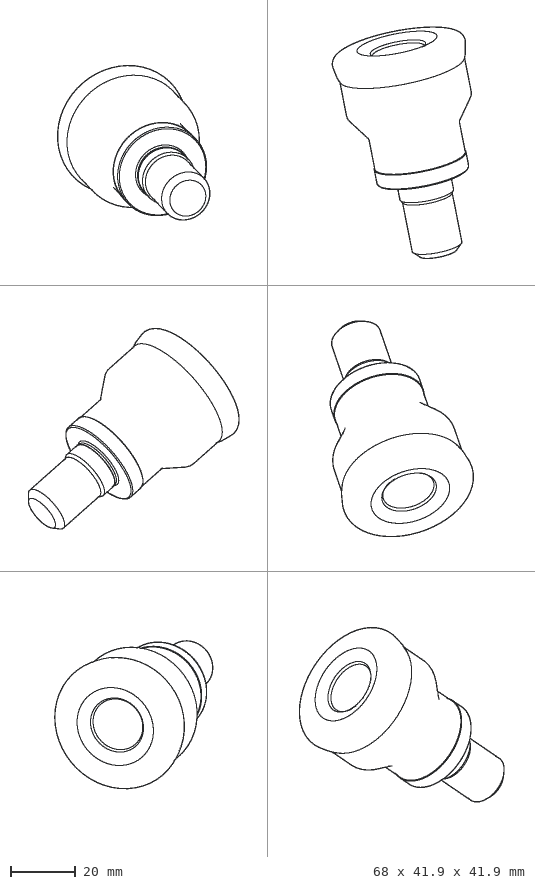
import cadquery as cq
import math


spigot_radius = 17.5
head_radius = 39.4 / 2
neck_radius = 28.6 / 2
collar_radius = 29.0 / 2
shank_radius = 17.0 / 2
shank_relief_depth = 0.2
stud_radius = 15.75 / 2

spigot_front_x = 2.4
ring_end_x = 8.3
taper_start_x = 20.15
collar_start_x = 37.9
shoulder_x = 43.0
relief_end_x = 44.3
shank_end_x = 49.0
stud_start_x = 50.0
total_length = 68.0

taper_angle = math.radians(35)
taper_blend_radius = 2.0
collar_front_chamfer = collar_radius - neck_radius
collar_back_chamfer = 0.4
shank_root_flare = 0.5
stud_end_chamfer = 2.0

ring_radius = 41.93 / 2
face_flat_radius = 15.05
face_cone_end = (0.5, 18.25)
crown_x = 3.1
crown_radius = 2.4
crown_sweep = math.radians(62)
rear_cone_start = (3.7, 20.9)
rear_cone_end = (6.7, 20.35)
rear_round_start = (7.4, 20.1)

dish_rim_radius = 12.6
dish_start = (0.25, 11.95)
dish_end = (1.4, 9.15)
lip_end = (1.6, 8.75)
opening_radius = 8.2


def revolve_about_x(profile):
    return profile.close().revolve(360, (0, 0, 0), (1, 0, 0))


def make_turned_body():
    taper_end_x = taper_start_x + (head_radius - neck_radius) / math.tan(taper_angle)
    blend_setback = taper_blend_radius * math.tan(taper_angle / 2)
    along_x = blend_setback * math.cos(taper_angle)
    along_radius = blend_setback * math.sin(taper_angle)

    relief_radius = shank_radius - shank_relief_depth
    profile = (
        cq.Workplane("XY")
        .moveTo(spigot_front_x, 0)
        .lineTo(spigot_front_x, spigot_radius)
        .lineTo(ring_end_x, spigot_radius)
        .lineTo(ring_end_x, head_radius)
        .lineTo(taper_start_x - blend_setback, head_radius)
        .tangentArcPoint((taper_start_x + along_x, head_radius - along_radius), relative=False)
        .lineTo(taper_end_x - along_x, neck_radius + along_radius)
        .tangentArcPoint((taper_end_x + blend_setback, neck_radius), relative=False)
        .lineTo(collar_start_x, neck_radius)
        .lineTo(collar_start_x + collar_front_chamfer, collar_radius)
        .lineTo(shoulder_x - collar_back_chamfer, collar_radius)
        .lineTo(shoulder_x, collar_radius - collar_back_chamfer)
        .lineTo(shoulder_x, relief_radius + shank_root_flare)
        .lineTo(shoulder_x + shank_root_flare, relief_radius)
        .lineTo(relief_end_x, relief_radius)
        .lineTo(relief_end_x, shank_radius)
        .lineTo(shank_end_x, shank_radius)
        .lineTo(stud_start_x, stud_radius)
        .lineTo(total_length - stud_end_chamfer, stud_radius)
        .lineTo(total_length, stud_radius - stud_end_chamfer)
        .lineTo(total_length, 0)
    )
    return revolve_about_x(profile)


def make_ring():
    crown_start = (
        crown_x - crown_radius * math.sin(crown_sweep),
        ring_radius - crown_radius * (1 - math.cos(crown_sweep)),
    )
    crown_middle = (
        crown_x - crown_radius * math.sin(crown_sweep / 2),
        ring_radius - crown_radius * (1 - math.cos(crown_sweep / 2)),
    )
    profile = (
        cq.Workplane("XY")
        .moveTo(spigot_front_x, opening_radius)
        .lineTo(*lip_end)
        .lineTo(*dish_end)
        .lineTo(*dish_start)
        .lineTo(0, dish_rim_radius)
        .lineTo(0, face_flat_radius)
        .lineTo(*face_cone_end)
        .tangentArcPoint(crown_start, relative=False)
        .threePointArc(crown_middle, (crown_x, ring_radius))
        .tangentArcPoint(rear_cone_start, relative=False)
        .lineTo(*rear_cone_end)
        .lineTo(*rear_round_start)
        .tangentArcPoint((ring_end_x, head_radius), relative=False)
        .lineTo(ring_end_x, spigot_radius)
        .lineTo(spigot_front_x, spigot_radius)
    )
    return revolve_about_x(profile)


turned_body = make_turned_body()
ring = make_ring()

result = cq.Compound.makeCompound([turned_body.val(), ring.val()])